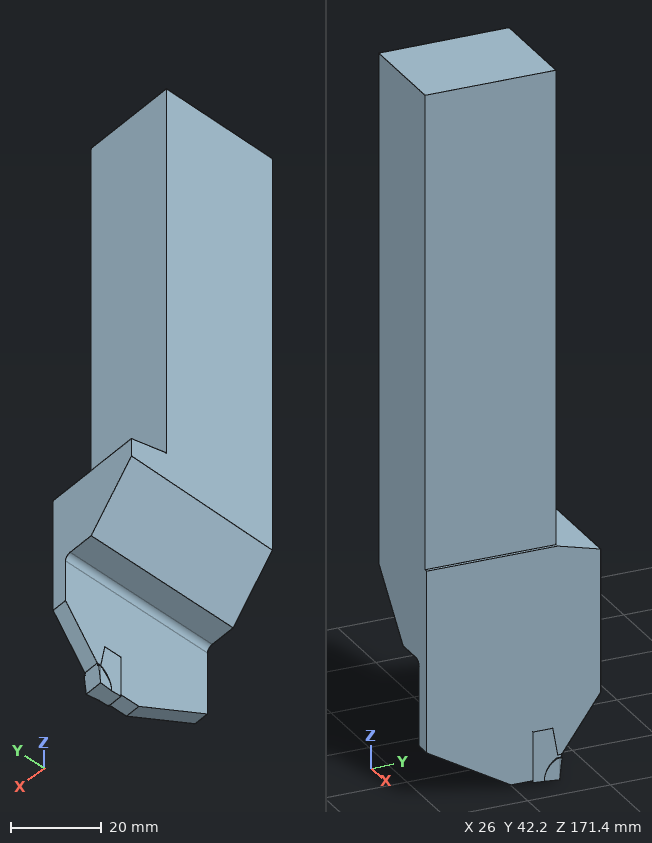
import cadquery as cq


total_height = 171.4
shank_right = 24.8
shank_depth = 31.7
foot_depth = 42.2
foot_top = 56.5
foot_back_top = 53.8
side_draft = 0.3

relief_top = 48.3
shoulder_left = 13.2
shoulder_height = 33.2
shoulder_fillet = 1.5

blade_left = 21.6
blade_right = 25.7
blade_bottom = 0.9
blade_front_corner = 12.5
blade_bottom_front = 20.4
blade_back_corner = 19.2

insert_front = 25.7
insert_top = 12.7
insert_top_back = 30.5
insert_front_bottom = 0.3
seat_back = 31.7
seat_height = 6.0
rake_top = 32.7
edge_back = 32.0
head_overhang = 0.3
head_top_back = 31.5
head_top = 5.3
head_arc_mid = (29.8, 4.0)
head_bottom_front = 28.5


def yz_polygon(points):
    """Closed outline through (Y, Z) points."""
    return cq.Workplane("YZ").polyline(points).close()


def extrude_along_x(sketch, left, right):
    """Extrude a closed YZ outline from X = left to X = right."""
    return sketch.extrude(right - left).translate((left, 0, 0))


def make_insert():
    body_points = [
        (insert_front, insert_front_bottom),
        (insert_front, insert_top),
        (insert_top_back, insert_top),
        (seat_back, seat_height),
        (rake_top, seat_height),
        (edge_back, 0),
    ]
    body = extrude_along_x(yz_polygon(body_points), blade_left, blade_right)

    head_left = blade_left - head_overhang
    head_right = blade_right + head_overhang
    head_sketch = (
        cq.Workplane("YZ")
        .moveTo(head_top_back, head_top)
        .threePointArc(head_arc_mid, (head_bottom_front, 0))
        .lineTo(rake_top, 0)
        .lineTo(rake_top, head_top)
        .close()
    )
    head = extrude_along_x(head_sketch, head_left, head_right)

    clearance = (
        cq.Workplane("XY")
        .polyline([
            (blade_left, head_bottom_front),
            (blade_right, head_bottom_front),
            (head_right, edge_back),
            (head_right, rake_top),
            (head_left, rake_top),
            (head_left, edge_back),
        ])
        .close()
        .extrude(insert_top)
    )
    outline = extrude_along_x(yz_polygon(body_points), head_left, head_right)
    return body.union(head.intersect(clearance).intersect(outline))


def make_holder():
    side_sketch = yz_polygon([
        (0, total_height),
        (shank_depth, total_height),
        (shank_depth, foot_top),
        (foot_depth, foot_back_top),
        (foot_depth, blade_back_corner),
        (rake_top, seat_height),
        (edge_back, blade_bottom),
        (blade_bottom_front, blade_bottom),
        (0, blade_front_corner),
    ])
    side_form = extrude_along_x(side_sketch, 0, blade_right)

    front_form = (
        cq.Workplane("XZ")
        .polyline([
            (0, total_height),
            (shank_right, total_height),
            (shank_right, foot_top),
            (blade_right, foot_top),
            (blade_right, 0),
            (blade_left, 0),
            (blade_left, shoulder_height),
            (shoulder_left, shoulder_height),
            (0, relief_top),
        ])
        .close()
        .extrude(-foot_depth)
        .edges(cq.selectors.NearestToPointSelector((blade_left, foot_depth / 2, shoulder_height)))
        .fillet(shoulder_fillet)
    )

    draft_wedge = (
        cq.Workplane("XY")
        .polyline([(0, 0), (side_draft, 0), (0, foot_depth)])
        .close()
        .extrude(total_height)
    )

    pocket_sketch = yz_polygon([
        (insert_front, 0),
        (insert_front, insert_top),
        (insert_top_back, insert_top),
        (seat_back, seat_height),
        (rake_top, seat_height),
        (rake_top, 0),
    ])
    pocket = extrude_along_x(pocket_sketch, blade_left, blade_right)
    return side_form.intersect(front_form).cut(draft_wedge).cut(pocket)


insert = make_insert()
holder = make_holder()
result = cq.Compound.makeCompound([holder.solids().val(), insert.solids().val()])